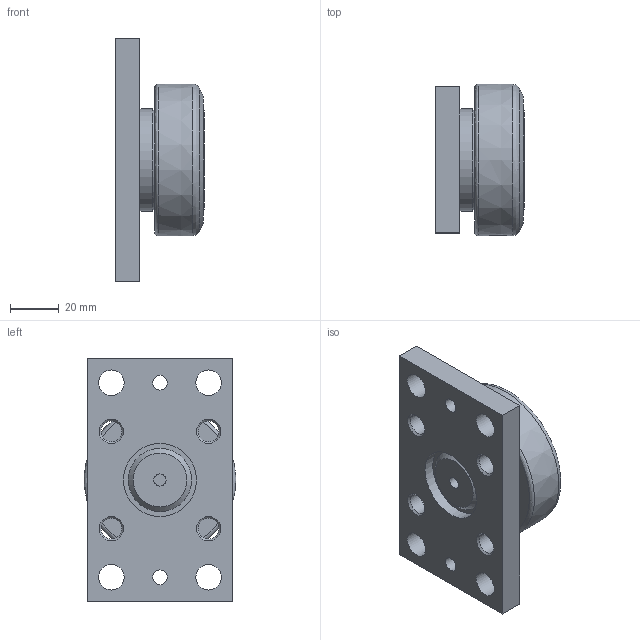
import cadquery as cq
import math


PLATE_THICKNESS = 10.0
PLATE_WIDTH = 60.0
PLATE_HEIGHT = 100.0

SIDE_HOLE_Y = 20.0
MOUNTING_HOLE_Z = 40.0
MOUNTING_HOLE_DIAMETER = 10.5
DOWEL_HOLE_DIAMETER = 6.0
THREAD_HOLE_Z = 20.0
THREAD_DIAMETER = 10.0
THREAD_CORE_DIAMETER = 8.5
COUNTERSINK_ANGLE = 45.0

RECESS_DIAMETER = 30.0
RECESS_DEPTH = 4.5
PIN_DIAMETER = 26.0
PIN_FACE_DEPTH = 2.0
PIN_CHAMFER = 2.0
CENTER_HOLE_DIAMETER = 5.0
CENTER_HOLE_DEPTH = 10.0

COLLAR_DIAMETER = 42.0
COLLAR_END = 15.3
CORE_DIAMETER = 41.0
CORE_END = 36.5

ROLLER_START = 16.0
ROLLER_END = 36.0
ROLLER_DIAMETER = 62.5
CROWN_RADIUS = 500.0
CROWN_PEAK = 24.5
INNER_CORNER_RADIUS = 1.5
BEVEL_END_RADIUS = 26.0
BEVEL_ANGLE = 25.0
BEVEL_CORNER_RADIUS = 3.0
EDGE_MARGIN = 1.0


def disc(diameter, start, end):
    """Solid cylinder about the X axis between two X positions."""
    return cq.Workplane("YZ", origin=(start, 0, 0)).circle(diameter / 2).extrude(end - start)


def crown_height(x):
    """Rim radius of the crowned tread at position x."""
    drop = CROWN_RADIUS - math.sqrt(CROWN_RADIUS**2 - (x - CROWN_PEAK) ** 2)
    return ROLLER_DIAMETER / 2 - drop


def make_plate():
    plate = cq.Workplane("YZ").rect(PLATE_WIDTH, PLATE_HEIGHT).extrude(PLATE_THICKNESS)
    plate = plate.cut(disc(RECESS_DIAMETER, 0, RECESS_DEPTH))
    pin = disc(PIN_DIAMETER, PIN_FACE_DEPTH, PLATE_THICKNESS)
    pin = pin.faces("<X").chamfer(PIN_CHAMFER)
    return plate.union(pin)


def make_roller():
    bevel_run = (ROLLER_DIAMETER / 2 - BEVEL_END_RADIUS) * math.tan(math.radians(BEVEL_ANGLE))
    bevel_start = ROLLER_END - bevel_run
    profile = (
        cq.Workplane("XZ")
        .moveTo(ROLLER_START, 0)
        .lineTo(ROLLER_START, crown_height(ROLLER_START))
        .threePointArc((CROWN_PEAK, ROLLER_DIAMETER / 2), (bevel_start, crown_height(bevel_start)))
        .lineTo(ROLLER_END, BEVEL_END_RADIUS)
        .lineTo(ROLLER_END, 0)
        .close()
    )
    roller = profile.revolve(360, (0, 0, 0), (1, 0, 0))
    roller = roller.faces("<X").edges().fillet(INNER_CORNER_RADIUS)
    tread_edge = cq.selectors.BoxSelector(
        (bevel_start - EDGE_MARGIN, -ROLLER_DIAMETER, -ROLLER_DIAMETER),
        (bevel_start + EDGE_MARGIN, ROLLER_DIAMETER, ROLLER_DIAMETER),
        boundingbox=True,
    )
    return roller.edges(tread_edge).fillet(BEVEL_CORNER_RADIUS)


def plate_holes(diameter, points):
    return cq.Workplane("YZ").pushPoints(points).circle(diameter / 2).extrude(PLATE_THICKNESS)


def thread_holes():
    """Core holes with a countersink out to the thread diameter."""
    points = [(y, z) for y in (-SIDE_HOLE_Y, SIDE_HOLE_Y) for z in (-THREAD_HOLE_Z, THREAD_HOLE_Z)]
    holes = plate_holes(THREAD_CORE_DIAMETER, points)
    sink_width = (THREAD_DIAMETER - THREAD_CORE_DIAMETER) / 2
    sink_depth = sink_width / math.tan(math.radians(COUNTERSINK_ANGLE))
    sinks = (
        cq.Workplane("YZ")
        .pushPoints(points)
        .circle(THREAD_DIAMETER / 2)
        .extrude(sink_depth, taper=COUNTERSINK_ANGLE)
    )
    return holes.union(sinks)


mounting_points = [
    (y, z) for y in (-SIDE_HOLE_Y, SIDE_HOLE_Y) for z in (-MOUNTING_HOLE_Z, MOUNTING_HOLE_Z)
]
dowel_points = [(0, -MOUNTING_HOLE_Z), (0, MOUNTING_HOLE_Z)]

result = (
    make_plate()
    .union(disc(COLLAR_DIAMETER, PLATE_THICKNESS, COLLAR_END))
    .union(disc(CORE_DIAMETER, PLATE_THICKNESS, CORE_END))
    .union(make_roller())
    .cut(plate_holes(MOUNTING_HOLE_DIAMETER, mounting_points))
    .cut(plate_holes(DOWEL_HOLE_DIAMETER, dowel_points))
    .cut(thread_holes())
    .cut(disc(CENTER_HOLE_DIAMETER, PIN_FACE_DEPTH, PIN_FACE_DEPTH + CENTER_HOLE_DEPTH))
)